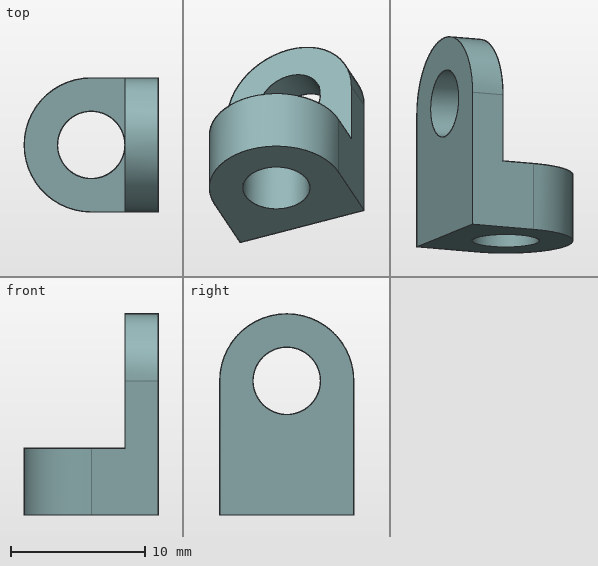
import cadquery as cq

width = 10.0
hole_diameter = 5.0
base_thickness = 5.0
plate_thickness = 2.5
base_hole_to_back = 5.0
plate_hole_height = 10.0

end_radius = width / 2


def rounded_lug(plane, straight_length, thickness):
    """Tongue with a full-round end centred on the plane origin and a hole through that centre.

    The straight sides run from the round end along the plane's local -Y direction.
    """
    return (
        cq.Workplane(plane)
        .moveTo(-end_radius, -straight_length)
        .lineTo(-end_radius, 0)
        .threePointArc((0, end_radius), (end_radius, 0))
        .lineTo(end_radius, -straight_length)
        .close()
        .extrude(thickness)
        .cut(cq.Workplane(plane).circle(hole_diameter / 2).extrude(thickness))
    )


base_plane = cq.Plane(origin=(0, 0, 0), xDir=(0, 1, 0), normal=(0, 0, 1))
base = rounded_lug(base_plane, base_hole_to_back, base_thickness)

plate_plane = cq.Plane(
    origin=(base_hole_to_back - plate_thickness, 0, plate_hole_height),
    xDir=(0, 1, 0),
    normal=(1, 0, 0),
)
plate = rounded_lug(plate_plane, plate_hole_height - base_thickness, plate_thickness)

result = base.union(plate).solids()